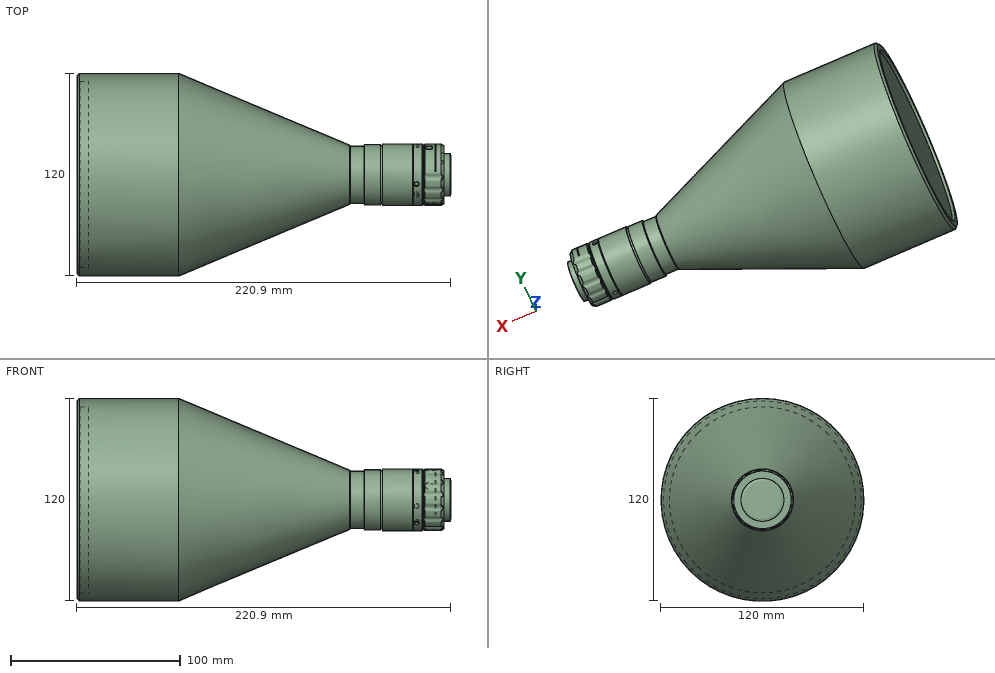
import cadquery as cq
import math


total_length = 220.92
drum_radius = 60.0
drum_length = 60.0
drum_chamfer = 1.5
taper_end = 161.0
taper_end_radius = 17.6
taper_end_bevel = 0.6

neck_radius = 17.0
neck_end = 169.5
collar_radius = 17.9
collar_end = 179.2
collar_bevel = 0.5
relief_radius = 17.3
relief_end = 180.4
barrel_radius = 18.3
barrel_end = 204.4
barrel_bevel = 0.5
ring_groove_radius = 17.4
ring_start = 205.1

ring_radius = barrel_radius
ring_start_bevel = 0.6
ring_chamfer_length = 1.9
ring_chamfer_depth = 1.3
flute_count = 10
flute_pitch = 25.0
flute_first_angle = 85.0
flute_radius = 2.5
flute_depth = 0.8
flute_edge_round = 2.2

mount_length = 3.92
mount_radius = 12.7
mount_chamfer_length = 0.4
mount_chamfer_depth = 1.5
ring_end = total_length - mount_length

fine_groove_width = 0.6
fine_groove_depth = 0.25
barrel_groove_x = 198.1
sector_groove_x = 211.4

plain_sector_angle = 112.0
flute_span = flute_pitch * (flute_count - 1)
plain_sector_centre = flute_first_angle + (360.0 - flute_span) / 2
dimple_x = 208.0
dimple_radius = 2.2
dimple_depth = 0.4

screw_count = 3
screw_x = 200.6
screw_radius = 1.4
screw_depth = 1.5
screw_first_angle = 72.0

glass_radius = 55.0
glass_recess = 1.8
glass_thickness = 5.0


def turned(points):
    """Solid of revolution about X from (x, radius) points."""
    return cq.Workplane("XZ").polyline(points).close().revolve(360, (0, 0, 0), (1, 0, 0))


def around_axis(shape, angle):
    """Swing a shape from the -Y side about X; 90 degrees brings it to +Z."""
    return shape.rotate((0, 0, 0), (1, 0, 0), -angle)


def fine_groove(x_start):
    """Cutter for a shallow groove all round the barrel or the ring, which share one radius."""
    return (
        cq.Workplane("YZ", origin=(x_start, 0, 0))
        .circle(barrel_radius + fine_groove_depth)
        .circle(barrel_radius - fine_groove_depth)
        .extrude(fine_groove_width)
    )


def radial_hole(x, radius, depth, angle):
    """Round cutter that sinks into the tail surface toward the axis."""
    cutter = (
        cq.Workplane("XZ", origin=(x, -(barrel_radius - depth), 0))
        .circle(radius)
        .extrude(2 * depth)
    )
    return around_axis(cutter, angle)


def ring_body():
    """Ring with axial flutes whose long edges are rounded."""
    length = ring_end - ring_start
    ring = cq.Workplane("YZ", origin=(ring_start, 0, 0)).circle(ring_radius).extrude(length)
    flute_centre = ring_radius - flute_depth + flute_radius
    flute = (
        cq.Workplane("YZ", origin=(ring_start, -flute_centre, 0))
        .circle(flute_radius)
        .extrude(length)
    )
    for index in range(flute_count):
        ring = ring.cut(around_axis(flute, flute_first_angle - index * flute_pitch))
    ring = ring.edges("|X").fillet(flute_edge_round)
    envelope = turned([
        (ring_start, 0),
        (ring_start, ring_radius - ring_start_bevel),
        (ring_start + ring_start_bevel, ring_radius),
        (ring_end - ring_chamfer_length, ring_radius),
        (ring_end, ring_radius - ring_chamfer_depth),
        (ring_end, 0),
    ])
    return ring.intersect(envelope)


def sector_groove():
    """Fine groove that runs only along the plain sector of the ring."""
    reach = 2 * ring_radius
    half_angle = math.radians(plain_sector_angle / 2)
    wedge = (
        cq.Workplane("YZ", origin=(sector_groove_x, 0, 0))
        .polyline([
            (0, 0),
            (-reach * math.cos(half_angle), reach * math.sin(half_angle)),
            (-reach, 0),
            (-reach * math.cos(half_angle), -reach * math.sin(half_angle)),
        ])
        .close()
        .extrude(fine_groove_width)
    )
    return fine_groove(sector_groove_x).intersect(around_axis(wedge, plain_sector_centre))


def housing_body():
    body = turned([
        (0, 0),
        (0, drum_radius - drum_chamfer),
        (drum_chamfer, drum_radius),
        (drum_length, drum_radius),
        (taper_end, taper_end_radius),
        (taper_end + taper_end_bevel, neck_radius),
        (neck_end, neck_radius),
        (neck_end + collar_bevel, collar_radius),
        (collar_end, collar_radius),
        (collar_end, relief_radius),
        (relief_end, relief_radius),
        (relief_end, barrel_radius),
        (barrel_end - barrel_bevel, barrel_radius),
        (barrel_end, barrel_radius - barrel_bevel),
        (barrel_end, ring_groove_radius),
        (ring_start, ring_groove_radius),
        (ring_start, mount_radius),
        (total_length - mount_chamfer_length, mount_radius),
        (total_length, mount_radius - mount_chamfer_depth),
        (total_length, 0),
    ])
    body = body.union(ring_body())
    body = body.cut(fine_groove(barrel_groove_x))
    body = body.cut(sector_groove())
    body = body.cut(radial_hole(dimple_x, dimple_radius, dimple_depth, plain_sector_centre))
    for index in range(screw_count):
        angle = screw_first_angle - index * 360.0 / screw_count
        body = body.cut(radial_hole(screw_x, screw_radius, screw_depth, angle))
    seat = cq.Workplane("YZ").circle(glass_radius).extrude(glass_recess + glass_thickness)
    return body.cut(seat)


def glass_body():
    return cq.Workplane("YZ", origin=(glass_recess, 0, 0)).circle(glass_radius).extrude(glass_thickness)


housing = housing_body()
glass = glass_body()
result = cq.Compound.makeCompound([housing.val(), glass.val()])